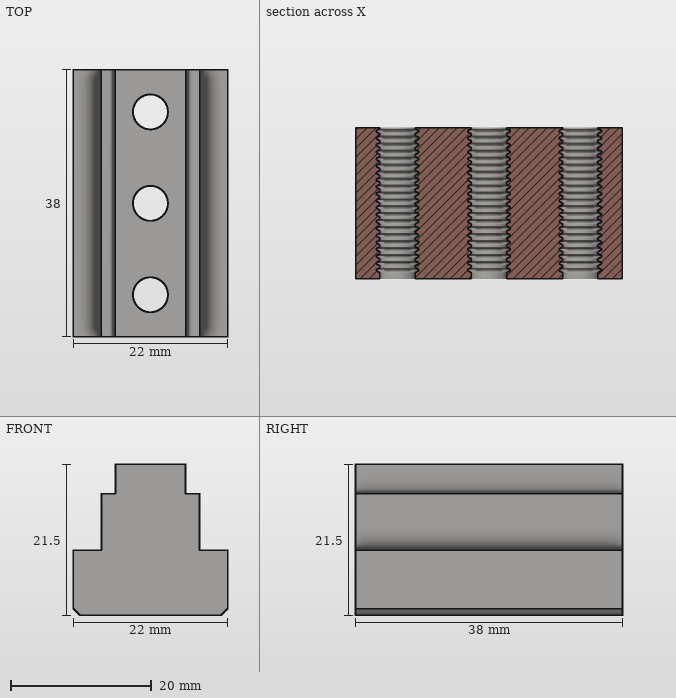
import cadquery as cq

length = 38.0
base_width = 22.0
middle_width = 14.0
top_width = 10.0
base_height = 9.3
middle_height = 8.0
top_height = 4.18
base_chamfer = 1.0
total_height = base_height + middle_height + top_height

hole_spacing = 13.0
thread_pitch = 1.0
bore_radius = 2.47
crest_width = 0.3
end_land = crest_width / 2
groove_depth = 0.55
root_width = thread_pitch / 8


def stepped_bar():
    """T-slot section extruded along Y, with its two long bottom edges chamfered."""
    step_sizes = [
        (base_width, base_height),
        (middle_width, middle_height),
        (top_width, top_height),
    ]
    bar = cq.Workplane("XY")
    floor = 0.0
    for width, height in step_sizes:
        step = cq.Workplane("XY").box(width, length, height, centered=(True, True, False))
        bar = bar.union(step.translate((0, 0, floor)))
        floor += height
    return bar.faces("<Z").edges("|Y").chamfer(base_chamfer)


def threaded_hole():
    """Through bore lined with evenly pitched V grooves that stand for its thread."""
    flank_height = (thread_pitch - crest_width - root_width) / 2
    root_radius = bore_radius + groove_depth
    groove_count = int((total_height - end_land) / thread_pitch)
    outline = cq.Workplane("XZ").moveTo(0, total_height).lineTo(bore_radius, total_height)
    for index in range(groove_count):
        groove_top = total_height - end_land - index * thread_pitch
        root_top = groove_top - flank_height
        root_bottom = root_top - root_width
        outline = (
            outline.lineTo(bore_radius, groove_top)
            .lineTo(root_radius, root_top)
            .lineTo(root_radius, root_bottom)
            .lineTo(bore_radius, root_bottom - flank_height)
        )
    outline = outline.lineTo(bore_radius, 0).lineTo(0, 0).close()
    return outline.revolve(360, (0, 0, 0), (0, 1, 0))


result = stepped_bar()
hole = threaded_hole()
for position in (-hole_spacing, 0, hole_spacing):
    result = result.cut(hole.translate((0, position, 0)))